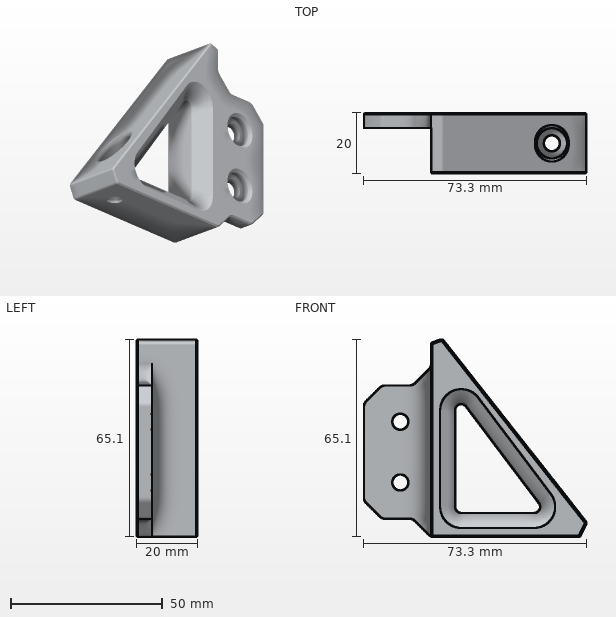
import cadquery as cq
import math

depth = 20.0
plate_thickness = 5.0
edge_chamfer = 0.5

body_left = 22.15
body_height = 70.0
body_length = 55.05
tip_cut = 6.0
tip_radius = 1.0

plate_chamfer = 6.0
plate_bottom = plate_chamfer
plate_top = 50.0
plate_corner_radius = 2.5

window_inset = 8.0
window_left = body_left + window_inset
window_bottom = window_inset
window_corner_radius = 2.0
window_corner_run = 24.0
window_corner_rise = 31.8
window_chamfer = 5.0

hole_diameter = 5.2
counterbore_diameter = 10.0
counterbore_chamfer = 1.0
plate_hole_flare_diameter = 6.45
plate_hole_flare_angle = 45
plate_hole_x = 12.0
plate_hole_spacing = 20.0
plate_counterbore_depth = 2.85
slope_hole_x = 61.95
slope_counterbore_floor = 11.95

front_y = -depth
mid_y = front_y / 2


def prism(points):
    """Extrude an XZ outline from the back face to the front face."""
    return cq.Workplane("XZ").polyline(points).close().extrude(depth)


def nearest(x, y, z):
    """Selector for the edge whose middle lies closest to a point."""
    return cq.selectors.NearestToPointSelector((x, y, z))


def round_corners(solid, corners, radius):
    """Round the front-to-back edges that stand on the given (x, z) corners."""
    for x, z in corners:
        solid = solid.edges("|Y").edges(nearest(x, mid_y, z)).fillet(radius)
    return solid


def make_blank():
    """Full-depth block with the outline of the body and the plate, corners rounded."""
    slope_length = math.hypot(body_length, body_height)
    cut_along_x = tip_cut * body_length / slope_length
    cut_along_z = tip_cut * body_height / slope_length
    body_right = body_left + body_length
    tips = [
        (body_right - tip_cut, 0),
        (body_right - cut_along_x, cut_along_z),
        (body_left + cut_along_x, body_height - cut_along_z),
        (body_left, body_height - tip_cut),
    ]
    neck_x = body_left - plate_chamfer
    plate = [
        (body_left, plate_top + plate_chamfer),
        (neck_x, plate_top),
        (plate_chamfer, plate_top),
        (0, plate_top - plate_chamfer),
        (0, plate_bottom + plate_chamfer),
        (plate_chamfer, plate_bottom),
        (neck_x, plate_bottom),
        (body_left, plate_bottom - plate_chamfer),
    ]
    blank = round_corners(prism(tips + plate), tips, tip_radius)
    return round_corners(blank, plate, plate_corner_radius)


def cut_plate_relief(solid):
    """Remove everything in front of the plate, left of the body."""
    relief = cq.Workplane("XY").box(body_left, depth - plate_thickness, body_height, centered=False)
    return solid.cut(relief.translate((0, front_y, 0)))


def cut_window(solid):
    """Cut the triangular window and chamfer its rim on the front and the back."""
    radius = window_corner_radius
    slope_angle = math.atan2(window_corner_rise, window_corner_run)
    right_reach = radius / math.tan(slope_angle / 2)
    top_reach = radius / math.tan((math.pi / 2 - slope_angle) / 2)
    corners = [
        (window_left, window_bottom),
        (window_left + radius + window_corner_run + right_reach, window_bottom),
        (window_left, window_bottom + radius + window_corner_rise + top_reach),
    ]
    solid = solid.cut(round_corners(prism(corners), corners, radius))
    mid_z = window_bottom + radius + window_corner_rise / 2
    for y in (0, front_y):
        solid = solid.edges(nearest(window_left, y, mid_z)).chamfer(window_chamfer)
    return solid


def cut_plate_holes(solid):
    """Two holes through the plate, counterbored from the back, with a flare at the counterbore floor."""
    mid_z = (plate_bottom + plate_top) / 2
    flare_width = (plate_hole_flare_diameter - hole_diameter) / 2
    flare_depth = flare_width / math.tan(math.radians(plate_hole_flare_angle))
    for side in (-1, 1):
        centre = (plate_hole_x, 0, mid_z + side * plate_hole_spacing / 2)
        face = cq.Workplane("XZ", origin=centre)
        solid = solid.cut(face.circle(hole_diameter / 2).extrude(plate_thickness))
        floor = face.workplane(offset=plate_counterbore_depth)
        solid = solid.cut(face.circle(counterbore_diameter / 2).extrude(plate_counterbore_depth))
        flare = floor.circle(plate_hole_flare_diameter / 2)
        solid = solid.cut(flare.extrude(flare_depth, taper=plate_hole_flare_angle))
        solid = solid.faces(">Y").edges(nearest(*centre)).chamfer(counterbore_chamfer)
    return solid


def cut_slope_hole(solid):
    """Vertical hole through the lower right of the body, counterbored from the sloped side."""
    bottom = cq.Workplane("XY", origin=(slope_hole_x, mid_y, 0))
    solid = solid.cut(bottom.circle(hole_diameter / 2).extrude(body_height))
    bore = bottom.workplane(offset=slope_counterbore_floor)
    solid = solid.cut(bore.circle(counterbore_diameter / 2).extrude(body_height))
    rim_z = body_height * (1 - (slope_hole_x - body_left) / body_length)
    rim = nearest(slope_hole_x, mid_y, rim_z)
    return solid.edges(rim).chamfer(counterbore_chamfer)


result = cut_plate_relief(make_blank())
result = result.faces("<Y or >Y").chamfer(edge_chamfer)
result = cut_window(result)
result = cut_plate_holes(result)
result = cut_slope_hole(result)